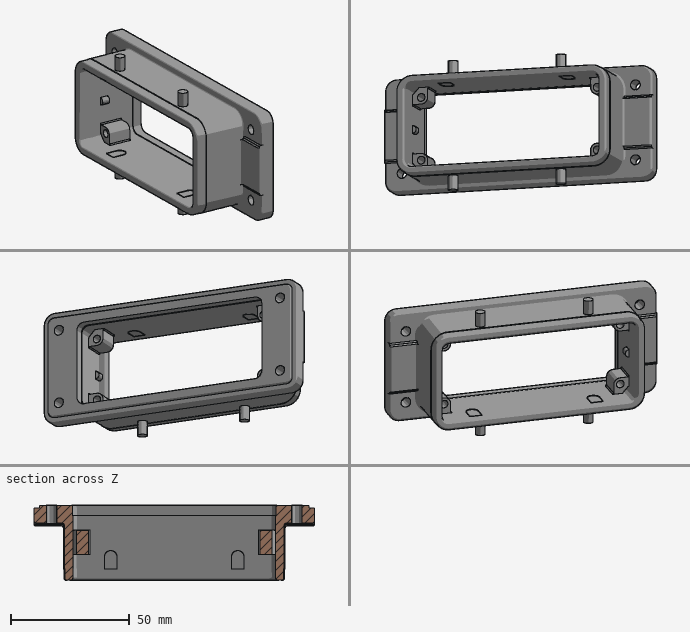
import cadquery as cq
import math

TOTAL_DEPTH = 31.65

FLANGE_LENGTH = 117.99
FLANGE_HEIGHT = 48.5
FLANGE_CORNER_RADIUS = 5.0
FLANGE_REAR_DEPTH = 1.1
FLANGE_FRONT_DEPTH = 7.65
FLANGE_FRONT_FILLET = 1.0
FLANGE_REAR_FILLET = 0.5

GASKET_INSET = 2.3
GASKET_FILLET = 0.6

PAD_FRONT_DEPTH = 8.8
PAD_HALF_HEIGHT = 10.8
PAD_SIDE_FILLET = 0.6

MOUNT_HOLE_DIAMETER = 4.2
MOUNT_HOLE_X = 51.5
MOUNT_HOLE_Z = 16.0

COLLAR_LENGTH = 93.2
COLLAR_HEIGHT = 42.9
COLLAR_CORNER_RADIUS = 7.5
COLLAR_ROOT_FILLET = 0.9
LIP_INSET = 0.3
LIP_CORNER_RADIUS = 6.7
LIP_REAR_DEPTH = 26.8
LIP_OUTER_FILLET = 0.9
LIP_INNER_FILLET = 1.0

OPENING_LENGTH = 85.4
OPENING_HEIGHT = 35.3
OPENING_CORNER_RADIUS = 3.0
REAR_RELIEF = 0.35
REAR_RELIEF_DEPTH = 4.3
MOUTH_FLARE = 0.12

BOSS_X = 38.8
BOSS_Z = 13.4
BOSS_RADIUS = 2.85
BOSS_HOLE_DIAMETER = 3.3
BOSS_REAR_DEPTH = 10.5
BOSS_FRONT_DEPTH = 20.8
BOSS_ROOT_FILLET = 0.5

KEY_RADIUS = 1.7
KEY_REAR_DEPTH = 17.3

PIN_DIAMETER = 4.15
PIN_X = 23.8
PIN_DEPTH = 23.6
PIN_SPAN = 55.09

POCKET_X = 26.7
POCKET_RADIUS = 2.65
POCKET_CENTRE_DEPTH = 21.8
POCKET_RECESS = 0.3

OVERLAP = 1.0
EDGE_MARGIN = 0.1
SIDES = (-1, 1)


def block(length, height, rear_depth, front_depth):
    """Box centred on the Y axis that spans two depths."""
    return (
        cq.Workplane("XZ", origin=(0, -rear_depth, 0))
        .rect(length, height)
        .extrude(front_depth - rear_depth)
    )


def rounded_block(length, height, corner_radius, rear_depth, front_depth):
    return block(length, height, rear_depth, front_depth).edges("|Y").fillet(corner_radius)


def cylinder(diameter, x, z, rear_depth, front_depth):
    return (
        cq.Workplane("XZ", origin=(0, -rear_depth, 0))
        .center(x, z)
        .circle(diameter / 2)
        .extrude(front_depth - rear_depth)
    )


def make_pad_strip():
    """Strip along the whole flange whose ends form the raised pads.

    Its section has flared roots and rounded shoulders; its end edges are rounded like the flange rim.
    """
    r = PAD_SIDE_FILLET
    flare_z = PAD_HALF_HEIGHT + r
    shoulder_z = PAD_HALF_HEIGHT - r
    rear_y = -FLANGE_REAR_DEPTH - FLANGE_REAR_FILLET
    root_y = -FLANGE_FRONT_DEPTH
    front_y = -PAD_FRONT_DEPTH
    section = (
        cq.Workplane("YZ", origin=(-FLANGE_LENGTH / 2, 0, 0))
        .moveTo(rear_y, -flare_z)
        .lineTo(root_y, -flare_z)
        .radiusArc((root_y - r, -PAD_HALF_HEIGHT), r)
        .lineTo(front_y + r, -PAD_HALF_HEIGHT)
        .radiusArc((front_y, -shoulder_z), -r)
        .lineTo(front_y, shoulder_z)
        .radiusArc((front_y + r, PAD_HALF_HEIGHT), -r)
        .lineTo(root_y - r, PAD_HALF_HEIGHT)
        .radiusArc((root_y, flare_z), r)
        .lineTo(rear_y, flare_z)
        .close()
        .extrude(FLANGE_LENGTH)
    )
    end_profile = (
        block(FLANGE_LENGTH, 2 * flare_z, FLANGE_REAR_DEPTH, PAD_FRONT_DEPTH)
        .faces("<Y").edges("|Z").fillet(FLANGE_FRONT_FILLET)
    )
    return section.intersect(end_profile)


def make_pad_root(side):
    """Concave fillet between one raised pad and the end wall of the collar."""
    r = COLLAR_ROOT_FILLET
    wall_x = side * COLLAR_LENGTH / 2
    inner_x = wall_x - side * OVERLAP
    outer_x = wall_x + side * r
    half_height = PAD_HALF_HEIGHT - PAD_SIDE_FILLET
    return (
        cq.Workplane("XY", origin=(0, 0, -half_height))
        .moveTo(inner_x, -PAD_FRONT_DEPTH + OVERLAP)
        .lineTo(outer_x, -PAD_FRONT_DEPTH + OVERLAP)
        .lineTo(outer_x, -PAD_FRONT_DEPTH)
        .radiusArc((wall_x, -PAD_FRONT_DEPTH - r), -side * r)
        .lineTo(inner_x, -PAD_FRONT_DEPTH - r)
        .close()
        .extrude(2 * half_height)
    )


def make_flange():
    return (
        rounded_block(
            FLANGE_LENGTH, FLANGE_HEIGHT, FLANGE_CORNER_RADIUS, FLANGE_REAR_DEPTH, FLANGE_FRONT_DEPTH
        )
        .faces("<Y").edges().fillet(FLANGE_FRONT_FILLET)
        .faces(">Y").edges().fillet(FLANGE_REAR_FILLET)
    )


def make_gasket():
    return (
        rounded_block(
            FLANGE_LENGTH - 2 * GASKET_INSET,
            FLANGE_HEIGHT - 2 * GASKET_INSET,
            FLANGE_CORNER_RADIUS - GASKET_INSET,
            0,
            FLANGE_REAR_DEPTH + OVERLAP,
        )
        .faces(">Y").edges().fillet(GASKET_FILLET)
    )


def make_collar():
    collar = rounded_block(
        COLLAR_LENGTH, COLLAR_HEIGHT, COLLAR_CORNER_RADIUS, FLANGE_REAR_DEPTH + OVERLAP, LIP_REAR_DEPTH
    )
    lip = (
        rounded_block(
            COLLAR_LENGTH - 2 * LIP_INSET,
            COLLAR_HEIGHT - 2 * LIP_INSET,
            LIP_CORNER_RADIUS,
            LIP_REAR_DEPTH - OVERLAP,
            TOTAL_DEPTH,
        )
        .faces("<Y").edges().fillet(LIP_OUTER_FILLET)
    )
    return collar.union(lip)


def collar_root_edges(shell):
    """Edges where the front of the flange meets the collar."""
    reach_x = COLLAR_LENGTH / 2 + EDGE_MARGIN
    reach_z = COLLAR_HEIGHT / 2 + EDGE_MARGIN
    around_root = cq.selectors.BoxSelector(
        (-reach_x, -FLANGE_FRONT_DEPTH - EDGE_MARGIN, -reach_z),
        (reach_x, -FLANGE_FRONT_DEPTH + EDGE_MARGIN, reach_z),
    )
    return shell.edges(around_root)


def make_shell():
    """Flange, pads, gasket and collar before the opening is cut."""
    shell = make_flange().union(make_collar())
    shell = collar_root_edges(shell).fillet(COLLAR_ROOT_FILLET)
    shell = shell.union(make_pad_strip())
    for side in SIDES:
        shell = shell.union(make_pad_root(side))
    return shell.union(make_gasket())


def make_opening():
    opening = rounded_block(OPENING_LENGTH, OPENING_HEIGHT, OPENING_CORNER_RADIUS, 0, TOTAL_DEPTH)
    relief = rounded_block(
        OPENING_LENGTH + 2 * REAR_RELIEF,
        OPENING_HEIGHT + 2 * REAR_RELIEF,
        OPENING_CORNER_RADIUS + REAR_RELIEF,
        0,
        REAR_RELIEF_DEPTH,
    )
    flare_depth = LIP_REAR_DEPTH - BOSS_FRONT_DEPTH
    flare_start = (
        cq.Sketch()
        .rect(OPENING_LENGTH, OPENING_HEIGHT)
        .vertices()
        .fillet(OPENING_CORNER_RADIUS)
    )
    flare = (
        cq.Workplane("XZ", origin=(0, -BOSS_FRONT_DEPTH, 0))
        .placeSketch(flare_start)
        .extrude(flare_depth, taper=-math.degrees(math.atan(MOUTH_FLARE / flare_depth)))
    )
    mouth = rounded_block(
        OPENING_LENGTH + 2 * MOUTH_FLARE,
        OPENING_HEIGHT + 2 * MOUTH_FLARE,
        OPENING_CORNER_RADIUS + MOUTH_FLARE,
        LIP_REAR_DEPTH,
        TOTAL_DEPTH,
    )
    return opening.union(relief).union(flare).union(mouth)


def make_boss():
    """Screw boss filling a corner of the opening, with concave fillets at both walls."""
    r = BOSS_ROOT_FILLET
    wall_x = OPENING_LENGTH / 2
    wall_z = OPENING_HEIGHT / 2
    inner_x = BOSS_X - BOSS_RADIUS
    inner_z = BOSS_Z - BOSS_RADIUS
    corner_middle = BOSS_RADIUS * math.sqrt(0.5)
    return (
        cq.Workplane("XZ", origin=(0, -BOSS_REAR_DEPTH, 0))
        .moveTo(wall_x + OVERLAP, inner_z - r)
        .lineTo(wall_x, inner_z - r)
        .radiusArc((wall_x - r, inner_z), r)
        .lineTo(BOSS_X, inner_z)
        .threePointArc((BOSS_X - corner_middle, BOSS_Z - corner_middle), (inner_x, BOSS_Z))
        .lineTo(inner_x, wall_z - r)
        .radiusArc((inner_x - r, wall_z), r)
        .lineTo(inner_x - r, wall_z + OVERLAP)
        .lineTo(BOSS_X, wall_z + OVERLAP)
        .lineTo(wall_x + OVERLAP, BOSS_Z)
        .close()
        .extrude(BOSS_FRONT_DEPTH - BOSS_REAR_DEPTH)
        .cut(cylinder(BOSS_HOLE_DIAMETER, BOSS_X, BOSS_Z, BOSS_REAR_DEPTH, BOSS_FRONT_DEPTH))
    )


def mirrored(shape, x_side, z_side):
    """Copy of a shape built at +X and +Z, moved to the given sides."""
    if x_side < 0:
        shape = shape.mirror("YZ")
    if z_side < 0:
        shape = shape.mirror("XY")
    return shape


def make_mount_hole():
    return cylinder(MOUNT_HOLE_DIAMETER, MOUNT_HOLE_X, MOUNT_HOLE_Z, 0, FLANGE_FRONT_DEPTH)


def make_pocket():
    """Cutter for one round-ended pocket in the upper wall."""
    floor_z = OPENING_HEIGHT / 2 + POCKET_RECESS
    round_end = (
        cq.Workplane("XY", origin=(POCKET_X, -POCKET_CENTRE_DEPTH, floor_z))
        .circle(POCKET_RADIUS)
        .extrude(-POCKET_RECESS - OVERLAP)
    )
    straight = (
        cq.Workplane("XY", origin=(POCKET_X, -(POCKET_CENTRE_DEPTH + LIP_REAR_DEPTH) / 2, floor_z))
        .rect(2 * POCKET_RADIUS, LIP_REAR_DEPTH - POCKET_CENTRE_DEPTH)
        .extrude(-POCKET_RECESS - OVERLAP)
    )
    return round_end.union(straight)


def make_pin():
    """Locking pin rooted inside the upper wall of the collar."""
    root_z = COLLAR_HEIGHT / 2 - OVERLAP
    return (
        cq.Workplane("XY", origin=(PIN_X, -PIN_DEPTH, root_z))
        .circle(PIN_DIAMETER / 2)
        .extrude(PIN_SPAN / 2 - root_z)
    )


def round_lip_mouth(part):
    """Round the inner front edge of the collar lip."""
    reach_x = OPENING_LENGTH / 2 + MOUTH_FLARE + EDGE_MARGIN
    reach_z = OPENING_HEIGHT / 2 + MOUTH_FLARE + EDGE_MARGIN
    around_mouth = cq.selectors.BoxSelector(
        (-reach_x, -TOTAL_DEPTH - EDGE_MARGIN, -reach_z),
        (reach_x, -TOTAL_DEPTH + EDGE_MARGIN, reach_z),
    )
    return part.edges(around_mouth).fillet(LIP_INNER_FILLET)


def make_part():
    part = round_lip_mouth(make_shell().cut(make_opening()))
    for x_side in SIDES:
        key_x = x_side * OPENING_LENGTH / 2
        part = part.union(cylinder(2 * KEY_RADIUS, key_x, 0, KEY_REAR_DEPTH, BOSS_FRONT_DEPTH))
        for z_side in SIDES:
            part = part.cut(mirrored(make_pocket(), x_side, z_side))
            part = part.cut(mirrored(make_mount_hole(), x_side, z_side))
            part = part.union(mirrored(make_boss(), x_side, z_side))
            part = part.union(mirrored(make_pin(), x_side, z_side))
    return part


result = make_part()